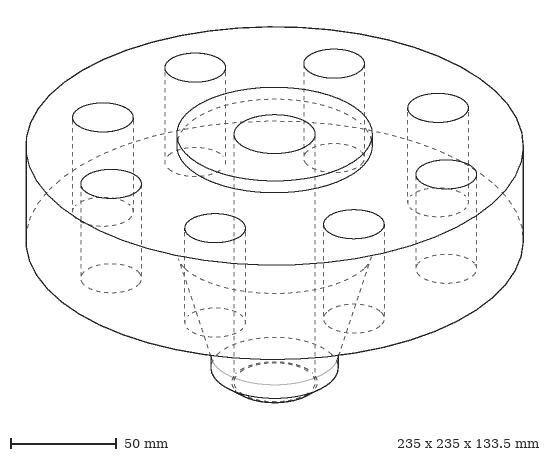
import cadquery as cq

flange_diameter = 235.0
total_height = 133.5

face_diameter = 92.3
face_height = 6.3
flange_thickness = 50.7

hub_base_diameter = 95.5
hub_end_diameter = 60.1
hub_fillet_radius = 9.5

weld_end_length = 7.3
bevel_height = 7.8
bevel_end_diameter = 40.5

bore_diameter = 38.3
bolt_hole_diameter = 28.7
bolt_circle_diameter = 171.5
bolt_count = 8

flange_top = total_height - face_height
flange_bottom = flange_top - flange_thickness
cone_bottom = bevel_height + weld_end_length

selection_margin = 0.2


def make_body():
    """Revolve the solid half section about Z and round the root of the hub."""
    body = (
        cq.Workplane("XZ")
        .lineTo(bevel_end_diameter / 2, 0)
        .lineTo(hub_end_diameter / 2, bevel_height)
        .lineTo(hub_end_diameter / 2, cone_bottom)
        .lineTo(hub_base_diameter / 2, flange_bottom)
        .lineTo(flange_diameter / 2, flange_bottom)
        .lineTo(flange_diameter / 2, flange_top)
        .lineTo(face_diameter / 2, flange_top)
        .lineTo(face_diameter / 2, total_height)
        .lineTo(0, total_height)
        .close()
        .revolve(360, (0, 0, 0), (0, 1, 0))
    )
    at_flange_bottom = cq.selectors.BoxSelector(
        (-flange_diameter, -flange_diameter, flange_bottom - selection_margin),
        (flange_diameter, flange_diameter, flange_bottom + selection_margin),
        boundingbox=True,
    )
    hub_root = body.edges(at_flange_bottom).edges(cq.selectors.RadiusNthSelector(0))
    return hub_root.fillet(hub_fillet_radius)


def make_bore():
    """Central bore through the whole part."""
    return cq.Workplane("XY").circle(bore_diameter / 2).extrude(total_height)


def make_bolt_holes():
    """Ring of bolt holes, the first one on +X."""
    return (
        cq.Workplane("XY")
        .workplane(offset=flange_bottom)
        .polarArray(bolt_circle_diameter / 2, 0, 360, bolt_count)
        .circle(bolt_hole_diameter / 2)
        .extrude(flange_thickness)
    )


result = make_body().cut(make_bore()).cut(make_bolt_holes())